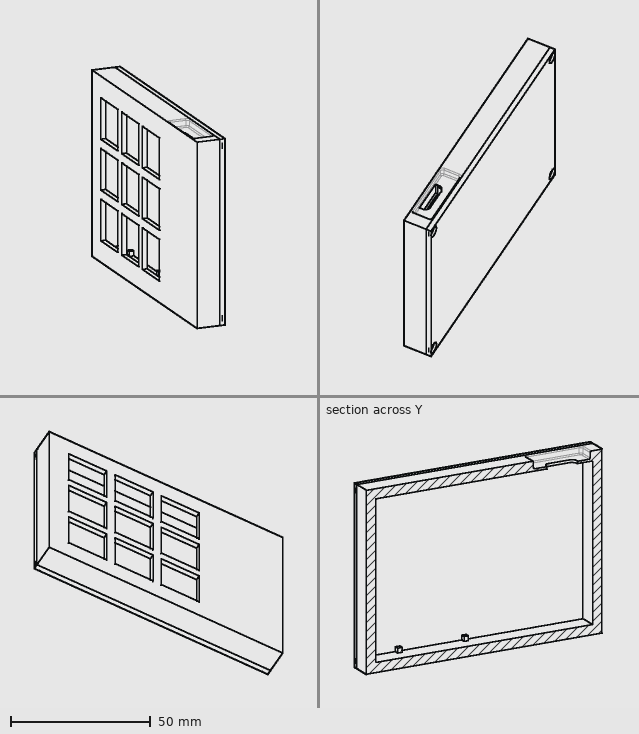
import cadquery as cq


LENGTH = 96.1
THICKNESS = 11.0
HEIGHT = 69.9
LID_THICKNESS = 2.0
HOUSING_DEPTH = THICKNESS - LID_THICKNESS

FRONT_WALL = 1.9
SIDE_WALL = 4.0

WINDOW_SIZE = 15.6
WINDOW_PITCH = 19.0
WINDOW_COUNT = 3
WINDOW_MARGIN = (HEIGHT - WINDOW_SIZE - (WINDOW_COUNT - 1) * WINDOW_PITCH) / 2

RECESS_LENGTH = 23.0
RECESS_WIDTH = 7.9
RECESS_DEPTH = 3.0
RECESS_CORNER = 1.0
RECESS_FILLET = 0.5
RECESS_RIGHT_MARGIN = 5.0
RECESS_X = LENGTH - RECESS_RIGHT_MARGIN - RECESS_LENGTH / 2
RECESS_Y = HOUSING_DEPTH / 2

SLOT_LENGTH = 12.4
SLOT_WIDTH = 3.4
SLOT_DEPTH = 4.8
SLOT_CORNER = 1.9
SLOT_X = 79.9
SLOT_FRONT_Y = 1.1

STANDOFF_SIZE = 1.8
FIRST_STANDOFF_X = 16.5
STANDOFF_PITCH = 27.0
STANDOFF_COUNT = 2

SCREW_HOLE_DIAMETER = 2.0
SCREW_HEAD_DIAMETER = 4.1
SCREW_HEAD_DEPTH = 1.1
SCREW_INSET_X = 2.2
SCREW_INSET_Z = 2.6


def block(size_x, size_y, size_z, corner):
    """Return a box whose lowest corner is at the given point."""
    return cq.Workplane("XY").box(size_x, size_y, size_z, centered=False).translate(corner)


def cavity():
    """Inner space, open at the back where the lid closes it."""
    return block(
        LENGTH - 2 * SIDE_WALL,
        HOUSING_DEPTH - FRONT_WALL,
        HEIGHT - 2 * SIDE_WALL,
        (SIDE_WALL, FRONT_WALL, SIDE_WALL),
    )


def windows():
    """Square openings through the front wall."""
    cutters = cq.Workplane("XY")
    for column in range(WINDOW_COUNT):
        for row in range(WINDOW_COUNT):
            x = WINDOW_MARGIN + column * WINDOW_PITCH
            z = WINDOW_MARGIN + row * WINDOW_PITCH
            cutters = cutters.add(block(WINDOW_SIZE, FRONT_WALL, WINDOW_SIZE, (x, 0, z)))
    return cutters.combine()


def recess():
    """Rounded pocket with a filleted floor edge."""
    return (
        cq.Workplane("XY", origin=(RECESS_X, RECESS_Y, HEIGHT - RECESS_DEPTH))
        .rect(RECESS_LENGTH, RECESS_WIDTH)
        .extrude(RECESS_DEPTH)
        .edges("|Z")
        .fillet(RECESS_CORNER)
        .faces("<Z")
        .edges()
        .fillet(RECESS_FILLET)
    )


def recess_rim_edges(body):
    """Select the edges where the recess opens through the top face."""
    reach = RECESS_FILLET / 2
    half_length = RECESS_LENGTH / 2 + reach
    half_width = RECESS_WIDTH / 2 + reach
    selector = cq.selectors.BoxSelector(
        (RECESS_X - half_length, RECESS_Y - half_width, HEIGHT - reach),
        (RECESS_X + half_length, RECESS_Y + half_width, HEIGHT + reach),
    )
    return body.edges(selector)


def connector_slot():
    """Slot with a flat front side and rounded back corners."""
    corner = (SLOT_X - SLOT_LENGTH / 2, SLOT_FRONT_Y, HEIGHT - RECESS_DEPTH - SLOT_DEPTH)
    cutter = block(SLOT_LENGTH, SLOT_WIDTH, SLOT_DEPTH, corner)
    return cutter.edges("|Z and >Y").fillet(SLOT_CORNER)


def make_housing():
    """Shallow case with key windows in front and a plug recess on top."""
    body = block(LENGTH, HOUSING_DEPTH, HEIGHT, (0, 0, 0)).cut(recess())
    body = recess_rim_edges(body).fillet(RECESS_FILLET)
    return body.cut(cavity()).cut(windows()).cut(connector_slot())


def make_lid():
    """Flat back plate with its screw holes and the standoffs inside the housing."""
    plate = block(LENGTH, LID_THICKNESS, HEIGHT, (0, HOUSING_DEPTH, 0))
    plate = (
        plate.faces(">Y")
        .workplane(centerOption="CenterOfBoundBox")
        .rect(LENGTH - 2 * SCREW_INSET_X, HEIGHT - 2 * SCREW_INSET_Z, forConstruction=True)
        .vertices()
        .cboreHole(SCREW_HOLE_DIAMETER, SCREW_HEAD_DIAMETER, SCREW_HEAD_DEPTH)
    )
    for index in range(STANDOFF_COUNT):
        x = FIRST_STANDOFF_X + index * STANDOFF_PITCH - STANDOFF_SIZE / 2
        corner = (x, HOUSING_DEPTH - STANDOFF_SIZE, SIDE_WALL)
        plate = plate.union(block(STANDOFF_SIZE, STANDOFF_SIZE, STANDOFF_SIZE, corner))
    return plate


housing = make_housing()
lid = make_lid()
result = cq.Compound.makeCompound([housing.val(), lid.val()])